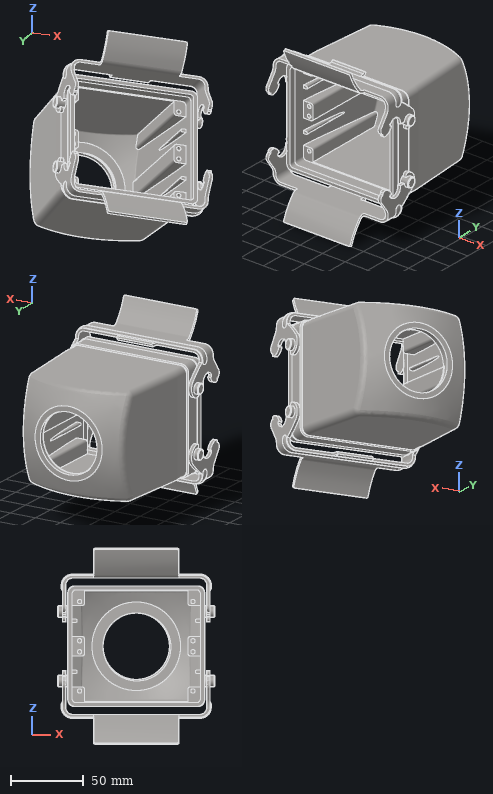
import cadquery as cq
import math


HOOD_HALF_X = 46.0
HOOD_HALF_Z = 40.7
HOOD_CORNER = 5.4
BACK_Y = 98.3
TAPER_START_Y = 29.3
HOOD_END_HALF_X = 40.4
DOME_RADIUS = 93.2
DOME_FLAT_RADIUS = 27.0
DOME_CENTRE_Y = BACK_Y - math.sqrt(DOME_RADIUS**2 - DOME_FLAT_RADIUS**2)
WALL = 4.0
INNER_FLAT_RADIUS = 30.5
CAVITY_MID_HALF_X = 43.2
CAVITY_END_HALF_X = 36.5
CAVITY_HALF_Z = 38.1
CAVITY_CORNER = HOOD_CORNER - WALL
CAVITY_END_HALF_Z = 37.5
CABLE_HOLE_RADIUS = 22.8
CABLE_SEAT_RADIUS = 23.4
CABLE_SEAT_X = 0.5
CABLE_SEAT_Z = -0.5
CABLE_SEAT_DEPTH = 1.4

GASKET_DEPTH = 5.3
FLANGE_BACK_Y = 17.7
FLANGE_HALF_X = 47.4
FLANGE_HALF_Z = 41.6
FLANGE_CORNER = 6.2
FLANGE_CHAMFER = 0.8
GASKET_HALF_X = 47.1
GASKET_CORNER = 4.6
MOUTH_HALF_X = 44.2
MOUTH_HALF_Z = 38.9
MOUTH_CORNER = 2.7
LEDGE_Y = 14.6

PILLAR_INNER_X = 35.5
PILLAR_ROUND = 2.0
CORNER_PILLAR_Z = 28.0
MIDDLE_PILLAR_HALF_Z = 6.8
SCREW_X = 39.0
SCREW_Z = (3.8, 30.8)
SCREW_RADIUS = 1.5
SCREW_DEPTH = 16.2
RIB_TIP_X = 40.7
RIB_Z = 17.5
RIB_WIDTH = 2.3
RIB_NOSE = 1.1

PIN_Y = 11.7
PIN_Z = 23.9
PIN_RADIUS = 4.0
PIN_SPAN = 108.5
PIN_END_X = PIN_SPAN / 2
PIN_CHAMFER = 0.5

SHEET = 2.0
ARM_SHEET = 2.4
STRAP_OUTER_Z = 48.9
ARM_OUTER_X = 50.9
BEND_RADIUS = 7.0
BEND_Z = STRAP_OUTER_Z - BEND_RADIUS
SHOULDER_Z = 40.5
STRAP_BACK_Y = 4.9
STRAP_FRONT_Y = -10.1
HUB_RADIUS = 7.0
HOOK_Y = -2.7
HOOK_Z = 25.1
HOOK_RADIUS = 6.0
BEAD_BACK_Y = 3.9
BEAD_FRONT_Y = -1.5
BEAD_HEIGHT = 0.88
BEAD_END_Z = 40.8
HANDLE_HALF_X = 29.5
HANDLE_BEND_Y = -12.4
HANDLE_TIP_Y = -25.7
HANDLE_TIP_Z = 67.5
HANDLE_TIP_ANGLE = math.radians(63)
HANDLE_CORNER = 1.2
HANDLE_INNER_BEND = 3.4
HANDLE_OUTER_BEND = HANDLE_INNER_BEND + SHEET
ROOT_FILLET = 0.8
TAB_HALF_X = 14.2
TAB_TIP_Y = 11.1


def slab(half_x, half_z, corner, y_start, y_end):
    """Rectangular block with rounded edges along Y, centred on the Y axis."""
    block = cq.Workplane("XY").box(2 * half_x, y_end - y_start, 2 * half_z)
    return block.edges("|Y").fillet(corner).translate((0, (y_start + y_end) / 2, 0))


def mirrored_prism(plane, profile, half_length):
    """Prism whose outline is a list of (half width, y) points mirrored about the Y axis."""
    outline = profile + [(-half, y) for half, y in reversed(profile)]
    if plane == "YZ":
        outline = [(y, half) for half, y in outline]
    return cq.Workplane(plane).polyline(outline).close().extrude(half_length, both=True)


def hood_block(x_profile, z_profile, radius, flat_radius):
    """Block with straight or tapered walls and a spherical end cut off flat."""
    start_y = x_profile[0][1]
    side_walls = mirrored_prism("XY", x_profile, HOOD_HALF_X)
    walls = side_walls.intersect(mirrored_prism("YZ", z_profile, HOOD_HALF_X))
    flat_y = DOME_CENTRE_Y + math.sqrt(radius**2 - flat_radius**2)
    mid_angle = (math.asin(flat_radius / radius) + math.pi / 2) / 2
    mid_point = (radius * math.sin(mid_angle), DOME_CENTRE_Y + radius * math.cos(mid_angle))
    dome = (
        cq.Workplane("XY")
        .moveTo(0, start_y)
        .lineTo(radius, start_y)
        .lineTo(radius, DOME_CENTRE_Y)
        .threePointArc(mid_point, (flat_radius, flat_y))
        .lineTo(0, flat_y)
        .close()
        .revolve(360, (0, 0, 0), (0, 1, 0))
    )
    return walls.intersect(dome)


def is_outer_edge(edge):
    """True for the long corner edges and the edges around the dome."""
    box = edge.BoundingBox()
    runs_back = box.ylen > 1.4
    on_top_or_bottom = box.zlen < 0.01
    return runs_back and (on_top_or_bottom or edge.Center().y > TAPER_START_Y)


def is_dome_edge(edge):
    """True for the four curved edges between the cavity walls and its domed end."""
    box = edge.BoundingBox()
    return box.ylen > 1.4 and box.ymin > (TAPER_START_Y + BACK_Y) / 2


def make_pillars():
    """Four corner pillars and two middle pillars, reaching from the ledge to the dome."""
    pillars = cq.Workplane("XY")
    length = BACK_Y - LEDGE_Y
    for side in (-1, 1):
        for z_min, z_max, rounded in (
            (-HOOD_HALF_Z, -CORNER_PILLAR_Z, ">Z"),
            (-MIDDLE_PILLAR_HALF_Z, MIDDLE_PILLAR_HALF_Z, "|Y"),
            (CORNER_PILLAR_Z, HOOD_HALF_Z, "<Z"),
        ):
            width = HOOD_HALF_X - PILLAR_INNER_X
            pillar = cq.Workplane("XY").box(width, length, z_max - z_min)
            inner_face = pillar.faces("<X" if side > 0 else ">X")
            pillar = inner_face.edges(rounded).edges("|Y").fillet(PILLAR_ROUND)
            pillars = pillars.add(pillar.translate((
                side * (PILLAR_INNER_X + width / 2),
                LEDGE_Y + length / 2,
                (z_min + z_max) / 2,
            )))
    return pillars


def make_ribs():
    """Round-nosed guide ribs on both side walls."""
    ribs = cq.Workplane("XY")
    length = BACK_Y - LEDGE_Y
    width = HOOD_HALF_X - RIB_TIP_X
    for side in (-1, 1):
        for z in (-RIB_Z, RIB_Z):
            rib = cq.Workplane("XY").box(width, length, RIB_WIDTH)
            nose = rib.faces("<X" if side > 0 else ">X").edges("|Y")
            rib = nose.fillet(RIB_NOSE)
            ribs = ribs.add(rib.translate((
                side * (RIB_TIP_X + width / 2),
                LEDGE_Y + length / 2,
                z,
            )))
    return ribs


def make_housing():
    """Hood with its flange, cavity, pillars, ribs and pivot pins."""
    outside = hood_block(
        [(HOOD_HALF_X, GASKET_DEPTH), (HOOD_HALF_X, TAPER_START_Y), (HOOD_END_HALF_X, BACK_Y)],
        [(HOOD_HALF_Z, GASKET_DEPTH), (HOOD_HALF_Z, BACK_Y)],
        DOME_RADIUS,
        DOME_FLAT_RADIUS,
    )
    outer_edges = [edge for edge in outside.edges().vals() if is_outer_edge(edge)]
    outside = outside.newObject(outer_edges).fillet(HOOD_CORNER)
    flange = slab(FLANGE_HALF_X, FLANGE_HALF_Z, FLANGE_CORNER, GASKET_DEPTH, FLANGE_BACK_Y)
    flange = flange.faces(">Y").edges().chamfer(FLANGE_CHAMFER)

    cavity = hood_block(
        [(MOUTH_HALF_X, LEDGE_Y), (CAVITY_MID_HALF_X, TAPER_START_Y), (CAVITY_END_HALF_X, BACK_Y)],
        [(CAVITY_HALF_Z, LEDGE_Y), (CAVITY_END_HALF_Z, BACK_Y)],
        DOME_RADIUS - WALL,
        INNER_FLAT_RADIUS,
    )
    dome_edges = [edge for edge in cavity.edges().vals() if is_dome_edge(edge)]
    cavity = cavity.newObject(dome_edges).fillet(CAVITY_CORNER)
    for solid in make_pillars().vals() + make_ribs().vals():
        cavity = cavity.cut(cq.Workplane(solid))
    mouth = slab(MOUTH_HALF_X, MOUTH_HALF_Z, MOUTH_CORNER, GASKET_DEPTH, LEDGE_Y)
    cable_hole = cq.Workplane("XZ").circle(CABLE_HOLE_RADIUS).extrude(-BACK_Y)
    inner_flat_y = DOME_CENTRE_Y + math.sqrt((DOME_RADIUS - WALL)**2 - INNER_FLAT_RADIUS**2)
    cable_seat = (
        cq.Workplane("XZ", origin=(CABLE_SEAT_X, inner_flat_y, CABLE_SEAT_Z))
        .circle(CABLE_SEAT_RADIUS)
        .extrude(-CABLE_SEAT_DEPTH)
    )
    housing = outside.union(flange).cut(cavity).cut(mouth).cut(cable_hole).cut(cable_seat)

    screw_points = [
        (side * SCREW_X, end * z)
        for side in (-1, 1)
        for end in (-1, 1)
        for z in SCREW_Z
    ]
    screw_holes = (
        cq.Workplane("XZ", origin=(0, LEDGE_Y, 0))
        .pushPoints(screw_points)
        .circle(SCREW_RADIUS)
        .extrude(-SCREW_DEPTH)
    )
    housing = housing.cut(screw_holes)

    pin_root_x = (FLANGE_HALF_X + MOUTH_HALF_X) / 2
    for side in (-1, 1):
        for z in (-PIN_Z, PIN_Z):
            pin = (
                cq.Workplane("YZ", origin=(side * pin_root_x, PIN_Y, z))
                .circle(PIN_RADIUS)
                .extrude(side * (PIN_END_X - pin_root_x))
            )
            pin = pin.faces(">X" if side > 0 else "<X").edges().chamfer(PIN_CHAMFER)
            housing = housing.union(pin)
    return housing


def make_gasket():
    """Frame closing the front of the flange."""
    frame = slab(GASKET_HALF_X, FLANGE_HALF_Z, GASKET_CORNER, 0, GASKET_DEPTH)
    return frame.cut(slab(MOUTH_HALF_X, MOUTH_HALF_Z, MOUTH_CORNER, 0, GASKET_DEPTH))


def make_strap():
    """U-shaped strap of sheet, bent round the hood."""

    def arch(side_inset, top_inset):
        height = STRAP_OUTER_Z - top_inset - SHOULDER_Z
        width = 2 * (ARM_OUTER_X - side_inset)
        block = cq.Workplane("XY").box(width, STRAP_BACK_Y - STRAP_FRONT_Y, height)
        block = block.edges("|Y and >Z").fillet(BEND_RADIUS - side_inset)
        return block.translate((0, (STRAP_FRONT_Y + STRAP_BACK_Y) / 2, SHOULDER_Z + height / 2))

    return arch(0, 0).cut(arch(ARM_SHEET, SHEET))


def make_arm(side):
    """Side plate with the C-shaped pivot hub and the locking hook."""
    hook_diagonal = HOOK_RADIUS * math.sqrt(0.5)
    arm = (
        cq.Workplane("YZ", origin=(side * (ARM_OUTER_X - ARM_SHEET), 0, 0))
        .moveTo(STRAP_BACK_Y, BEND_Z)
        .lineTo(STRAP_BACK_Y, SHOULDER_Z)
        .threePointArc((11.6, 35.2), (16.9, 30.3))
        .threePointArc((PIN_Y + HUB_RADIUS, PIN_Z), (PIN_Y, PIN_Z - HUB_RADIUS))
        .threePointArc((9.9, 17.7), (9.9, 20.1))
        .lineTo(PIN_Y, PIN_Z)
        .lineTo(HOOK_Y + HOOK_RADIUS, PIN_Z)
        .lineTo(HOOK_Y + HOOK_RADIUS, HOOK_Z)
        .threePointArc((HOOK_Y + hook_diagonal, HOOK_Z + hook_diagonal), (HOOK_Y, HOOK_Z + HOOK_RADIUS))
        .threePointArc((-6.2, 29.8), (-7.8, 27.8))
        .threePointArc((-7.5, 27.0), (-6.5, 26.5))
        .threePointArc((-8.5, 23.2), (-12.7, 21.1))
        .threePointArc((-14.6, 21.2), (-15.7, 22.0))
        .lineTo(-15.7, 23.2)
        .threePointArc((-18.1, 26.6), (-16.7, 29.8))
        .lineTo(-12.4, 36.0)
        .threePointArc((-10.8, 38.6), (STRAP_FRONT_Y, BEND_Z))
        .close()
        .extrude(side * ARM_SHEET)
    )
    pin_hole = cq.Workplane("YZ").center(PIN_Y, PIN_Z).circle(PIN_RADIUS).extrude(side * PIN_END_X)
    return arm.cut(pin_hole)


def make_bead():
    """Raised stiffening bead of arc section over the strap, with a spherical end on each arm."""
    half_width = (BEAD_BACK_Y - BEAD_FRONT_Y) / 2
    centre_y = (BEAD_BACK_Y + BEAD_FRONT_Y) / 2
    arc_radius = (half_width**2 + BEAD_HEIGHT**2) / (2 * BEAD_HEIGHT)
    root = SHEET / 2
    bend = BEND_RADIUS * (1 - math.sqrt(0.5))
    bend_x = ARM_OUTER_X - BEND_RADIUS
    path = (
        cq.Workplane("XZ", origin=(0, centre_y, 0))
        .moveTo(-ARM_OUTER_X, BEAD_END_Z)
        .lineTo(-ARM_OUTER_X, BEND_Z)
        .threePointArc((bend - ARM_OUTER_X, STRAP_OUTER_Z - bend), (-bend_x, STRAP_OUTER_Z))
        .lineTo(bend_x, STRAP_OUTER_Z)
        .threePointArc((ARM_OUTER_X - bend, STRAP_OUTER_Z - bend), (ARM_OUTER_X, BEND_Z))
        .lineTo(ARM_OUTER_X, BEAD_END_Z)
    )
    bead = (
        cq.Workplane("XY", origin=(-ARM_OUTER_X, centre_y, BEAD_END_Z))
        .moveTo(root, -half_width)
        .lineTo(0, -half_width)
        .threePointArc((-BEAD_HEIGHT, 0), (0, half_width))
        .lineTo(root, half_width)
        .close()
        .sweep(path)
    )
    for side in (-1, 1):
        end_centre_x = side * (ARM_OUTER_X + BEAD_HEIGHT - arc_radius)
        ball = cq.Workplane("XY", origin=(end_centre_x, centre_y, BEAD_END_Z)).sphere(arc_radius)
        outside_arm = (
            cq.Workplane("YZ", origin=(side * (ARM_OUTER_X - root), 0, 0))
            .center(centre_y, BEAD_END_Z - half_width)
            .rect(2 * half_width, 2 * half_width)
            .extrude(side * arc_radius)
        )
        bead = bead.union(ball.intersect(outside_arm))
    return bead


def make_handle():
    """Curved finger plate in front of the strap."""
    inner_z = STRAP_OUTER_Z - SHEET
    offset_y = SHEET * math.sin(HANDLE_TIP_ANGLE)
    offset_z = SHEET * math.cos(HANDLE_TIP_ANGLE)
    handle = (
        cq.Workplane("YZ")
        .moveTo(STRAP_FRONT_Y, inner_z)
        .lineTo(HANDLE_BEND_Y - SHEET / 2, inner_z)
        .threePointArc((-20.4, 55.6), (HANDLE_TIP_Y, HANDLE_TIP_Z - offset_z))
        .lineTo(HANDLE_TIP_Y + offset_y, HANDLE_TIP_Z)
        .threePointArc((-18.5, 56.6), (HANDLE_BEND_Y, STRAP_OUTER_Z))
        .lineTo(STRAP_FRONT_Y, STRAP_OUTER_Z)
        .close()
        .extrude(HANDLE_HALF_X, both=True)
    )
    bend_edges = handle.edges("|X")
    outside_bend = bend_edges.edges(cq.NearestToPointSelector((0, HANDLE_BEND_Y, inner_z)))
    handle = outside_bend.fillet(HANDLE_OUTER_BEND)
    inside_bend = handle.edges("|X").edges(cq.NearestToPointSelector((0, HANDLE_BEND_Y, STRAP_OUTER_Z)))
    handle = inside_bend.fillet(HANDLE_INNER_BEND)
    for side in (-1, 1):
        corner = (side * HANDLE_HALF_X, HANDLE_TIP_Y + offset_y / 2, HANDLE_TIP_Z - offset_z / 2)
        handle = handle.edges(cq.NearestToPointSelector(corner)).fillet(HANDLE_CORNER)
    return handle


def make_tab():
    """Short tongue behind the strap with an upturned lip."""
    inner_z = STRAP_OUTER_Z - SHEET
    return (
        cq.Workplane("YZ")
        .moveTo(STRAP_BACK_Y, inner_z)
        .lineTo(9.5, inner_z)
        .lineTo(TAB_TIP_Y, 49.0)
        .lineTo(9.7, 50.2)
        .lineTo(8.2, STRAP_OUTER_Z)
        .lineTo(STRAP_BACK_Y, STRAP_OUTER_Z)
        .close()
        .extrude(TAB_HALF_X, both=True)
    )


def make_lever():
    """Upper locking lever."""
    lever = make_strap().union(make_handle()).union(make_tab())
    for side in (-1, 1):
        for half_x, y in ((HANDLE_HALF_X, STRAP_FRONT_Y), (TAB_HALF_X, STRAP_BACK_Y)):
            root = (side * half_x, y, STRAP_OUTER_Z - SHEET / 2)
            lever = lever.edges("|Z").edges(cq.NearestToPointSelector(root)).fillet(ROOT_FILLET)
    for side in (-1, 1):
        lever = lever.union(make_arm(side))
    return lever.union(make_bead())


housing = make_housing()
gasket = make_gasket()
upper_lever = make_lever()
levers = [upper_lever, upper_lever.mirror("XY")]

result = cq.Compound.makeCompound([housing.val(), gasket.val(), *[lever.val() for lever in levers]])